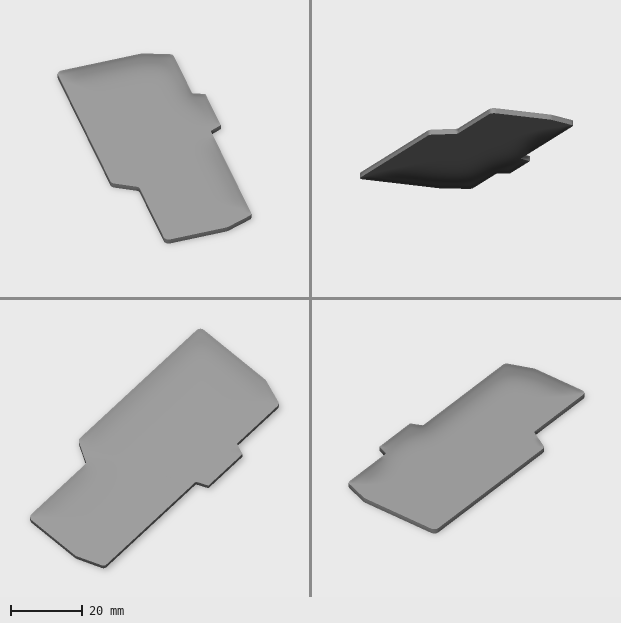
import cadquery as cq

length = 78.0
width = 36.8
thickness = 1.5

upper_edge = 33.4
shoulder_base = 25.2
shoulder_run = 3.05

tab_base_start = 20.5
tab_base_end = 37.45
tab_slope_run = 1.5

step_height = 6.9
step_top = 54.05
step_bottom = 50.1

corner_radius = 1.5
shoulder_radius = 1.2
shoulder_base_radius = 2.0
step_inner_radius = 1.0

outline = [
    (0, 0),
    (step_bottom, 0),
    (step_top, step_height),
    (length, step_height),
    (length, shoulder_base),
    (length - shoulder_run, upper_edge),
    (tab_base_end, upper_edge),
    (tab_base_end - tab_slope_run, width),
    (tab_base_start + tab_slope_run, width),
    (tab_base_start, upper_edge),
    (shoulder_run, upper_edge),
    (0, shoulder_base),
]
lower_corners = [(0, 0), (step_bottom, 0), (length, step_height)]
shoulder_corners = [(shoulder_run, upper_edge), (length - shoulder_run, upper_edge)]
shoulder_base_corners = [(0, shoulder_base), (length, shoulder_base)]
step_inner_corners = [(step_top, step_height)]


def round_corners(plate, corners, radius):
    """Fillet the vertical edges standing on the given outline corners."""
    for x, y in corners:
        edge = cq.selectors.NearestToPointSelector((x, y, thickness / 2))
        plate = plate.edges("|Z").edges(edge).fillet(radius)
    return plate


result = cq.Workplane("XY").polyline(outline).close().extrude(thickness)
result = round_corners(result, lower_corners, corner_radius)
result = round_corners(result, shoulder_corners, shoulder_radius)
result = round_corners(result, shoulder_base_corners, shoulder_base_radius)
result = round_corners(result, step_inner_corners, step_inner_radius)